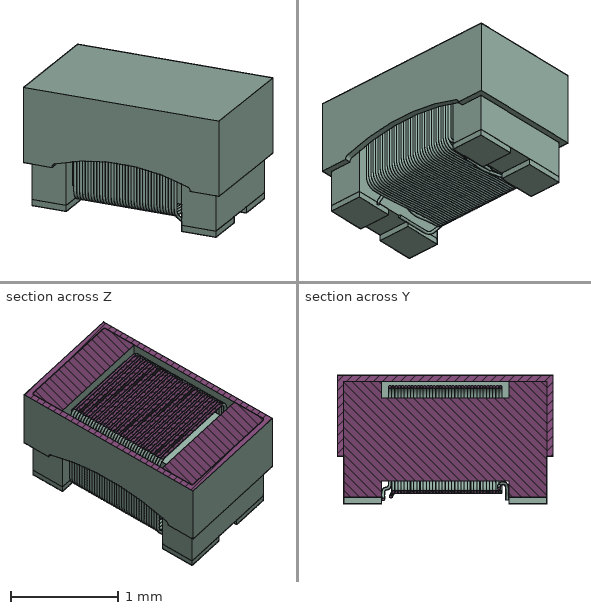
import cadquery as cq
cover_length = 2.01
cover_width = 1.2
total_height = 1.2
cover_bottom_z = 0.445
cover_roof = 0.06
arch_half_span = 0.71
arch_shoulder_step = 0.025
arch_shoulder_rise = 0.04
arch_crown_rise = 0.157

core_length = 1.893
core_width = 1.077
flange_length = 0.354
pad_thickness = 0.062
core_top_z = total_height - cover_roof
core_mid_z = (pad_thickness + core_top_z) / 2
bar_bottom_z = 0.213
bar_height = 2 * (core_mid_z - bar_bottom_z)
flange_inner_x = core_length / 2 - flange_length

pad_gap = 0.265
pad_width = (core_width - pad_gap) / 2

wire_diameter = 0.029
strand_pitch = 0.0294465
turns_per_wire = 18
wire_count = 2
strand_count = wire_count * turns_per_wire
turn_advance = wire_count * strand_pitch
bend_radius = 0.103
coil_half_width = 0.507
bar_width = 2 * (coil_half_width - bend_radius)
run_half_width = coil_half_width - bend_radius
bar_top_z = bar_bottom_z + bar_height
coil_bottom_z = bar_bottom_z - bend_radius
coil_top_z = bar_top_z + bend_radius
bend_middle = bend_radius * 0.5 ** 0.5

lead_clearance = 0.001
lead_x = flange_inner_x - wire_diameter / 2 - lead_clearance
lead_end_z = 0.042
lead_turn_y = 0.352

ALONG_X = cq.Vector(1, 0, 0)
ALONG_Y = cq.Vector(0, 1, 0)
UP = cq.Vector(0, 0, 1)
DOWN = cq.Vector(0, 0, -1)


def make_box(length, width, height, x, y, bottom_z):
    """Upright box centred on (x, y) and standing on bottom_z."""
    box = cq.Workplane("XY").box(length, width, height, centered=(True, True, False))
    return box.translate((x, y, bottom_z))


def make_cover():
    body = make_box(cover_length, cover_width, total_height - cover_bottom_z, 0, 0, cover_bottom_z)
    pocket = make_box(core_length, core_width, core_top_z - cover_bottom_z, 0, 0, cover_bottom_z)
    shoulder_x = arch_half_span - arch_shoulder_step
    shoulder_z = cover_bottom_z + arch_shoulder_rise
    shoulder_mid_x = arch_half_span - 0.3 * arch_shoulder_step
    shoulder_mid_z = cover_bottom_z + 0.7 * arch_shoulder_rise
    arch = (
        cq.Workplane("XZ")
        .moveTo(-arch_half_span, cover_bottom_z)
        .threePointArc((-shoulder_mid_x, shoulder_mid_z), (-shoulder_x, shoulder_z))
        .threePointArc((0, cover_bottom_z + arch_crown_rise), (shoulder_x, shoulder_z))
        .threePointArc((shoulder_mid_x, shoulder_mid_z), (arch_half_span, cover_bottom_z))
        .close()
        .extrude(cover_width / 2, both=True)
    )
    return body.cut(pocket).cut(arch)


def make_core():
    core = make_box(2 * flange_inner_x, bar_width, bar_height, 0, 0, bar_bottom_z)
    flange_x = (core_length - flange_length) / 2
    for side in (-1, 1):
        flange = make_box(
            flange_length, core_width, core_top_z - pad_thickness, side * flange_x, 0, pad_thickness
        )
        core = core.union(flange)
    return core


def make_pad(x_side, y_side):
    x = x_side * (core_length - flange_length) / 2
    y = y_side * (core_width - pad_width) / 2
    return make_box(flange_length, pad_width, pad_thickness, x, y, 0)


def strand_x(strand):
    """X of a strand, counted from 0 at the -X end."""
    return (strand - (strand_count - 1) / 2) * strand_pitch


def bend(x, y_side, z_side, from_upright):
    """Quarter arc between an upright strand and the run across the top or bottom."""
    bar_z = bar_top_z if z_side > 0 else bar_bottom_z
    upright = cq.Vector(x, y_side * coil_half_width, bar_z)
    middle = cq.Vector(x, y_side * (run_half_width + bend_middle), bar_z + z_side * bend_middle)
    flat = cq.Vector(x, y_side * run_half_width, bar_z + z_side * bend_radius)
    if from_upright:
        return cq.Edge.makeThreePointArc(upright, middle, flat)
    return cq.Edge.makeThreePointArc(flat, middle, upright)


def upright_line(x, y, start_z, end_z):
    return cq.Edge.makeLine(cq.Vector(x, y, start_z), cq.Vector(x, y, end_z))


def half_turn_over_top(x):
    """Up the back of the bar, straight over its top and down the front."""
    return [
        upright_line(x, coil_half_width, bar_bottom_z, bar_top_z),
        bend(x, 1, 1, True),
        cq.Edge.makeLine(
            cq.Vector(x, run_half_width, coil_top_z), cq.Vector(x, -run_half_width, coil_top_z)
        ),
        bend(x, -1, 1, False),
        upright_line(x, -coil_half_width, bar_top_z, bar_bottom_z),
    ]


def half_turn_under_bottom(x):
    """Under the bar from front to back, advancing to the next strand of the same wire."""
    next_x = x + turn_advance
    crossing = cq.Edge.makeSpline(
        [cq.Vector(x, -run_half_width, coil_bottom_z), cq.Vector(next_x, run_half_width, coil_bottom_z)],
        tangents=[ALONG_Y, ALONG_Y],
    )
    return [bend(x, -1, -1, True), crossing, bend(next_x, 1, -1, False)]


def make_lead(points, start_direction, end_direction):
    return cq.Edge.makeSpline(
        [cq.Vector(*point) for point in points], tangents=[start_direction, end_direction]
    )


def lead_tail(x, start_y, end_y):
    """Straight end of a lead, running along the inner face of its pad."""
    return cq.Edge.makeLine(cq.Vector(x, start_y, lead_end_z), cq.Vector(x, end_y, lead_end_z))


def make_wire(first_strand, start_edges, end_edges):
    """Sweep one wire: its first lead, all its turns and its last lead."""
    edges = list(start_edges)
    for turn in range(turns_per_wire):
        x = strand_x(first_strand + wire_count * turn)
        edges += half_turn_over_top(x)
        if turn < turns_per_wire - 1:
            edges += half_turn_under_bottom(x)
    edges += end_edges
    path = cq.Wire.assembleEdges(edges)
    start = path.startPoint()
    profile = cq.Workplane(cq.Plane(start, normal=path.tangentAt(0))).circle(wire_diameter / 2)
    return profile.sweep(cq.Workplane(path))


def make_first_wire():
    """Wire that starts at the back -X pad and ends at the back +X pad."""
    start_x = strand_x(0)
    start_lead = make_lead(
        [
            (-lead_x, lead_turn_y, lead_end_z),
            (-lead_x, 0.408, 0.105),
            (-0.567, 0.446, 0.137),
            (-0.54, 0.475, 0.145),
            (start_x, coil_half_width, bar_bottom_z),
        ],
        ALONG_Y,
        UP,
    )
    end_x = strand_x(strand_count - 2)
    end_lead = make_lead(
        [
            (end_x, -run_half_width, coil_bottom_z),
            (end_x + 0.8 * strand_pitch, -0.1, coil_bottom_z),
            (0.523, 0.14, 0.189),
            (0.569, 0.221, 0.177),
            (lead_x, 0.261, 0.11),
            (lead_x, 0.291, 0.036),
        ],
        ALONG_Y,
        DOWN,
    )
    return make_wire(
        0, [lead_tail(-lead_x, 0, lead_turn_y), start_lead], [bend(end_x, -1, -1, True), end_lead]
    )


def make_second_wire():
    """Wire that starts at the front -X pad and ends at the front +X pad."""
    start_x = strand_x(1)
    start_lead = make_lead(
        [
            (-flange_inner_x, -0.16, 0.056),
            (-0.539, -0.12, 0.066),
            (-0.509, 0.0, 0.068),
            (-0.505, 0.14, 0.075),
            (-0.492, 0.261, 0.096),
            (start_x, run_half_width, coil_bottom_z),
        ],
        ALONG_X,
        ALONG_Y,
    )
    end_x = strand_x(strand_count - 1)
    end_lead = make_lead(
        [
            (end_x, -coil_half_width, bar_bottom_z),
            (0.527, -0.452, 0.098),
            (lead_x, -lead_turn_y, lead_end_z),
        ],
        DOWN,
        ALONG_Y,
    )
    return make_wire(
        1,
        [start_lead, bend(start_x, 1, -1, False)],
        [end_lead, lead_tail(lead_x, -lead_turn_y, 0)],
    )


cover = make_cover()
core = make_core()
pads = [make_pad(x_side, y_side) for x_side in (-1, 1) for y_side in (-1, 1)]
first_wire = make_first_wire()
second_wire = make_second_wire()

result = cq.Compound.makeCompound(
    [cover.val(), core.val(), *[pad.val() for pad in pads], first_wire.val(), second_wire.val()]
)